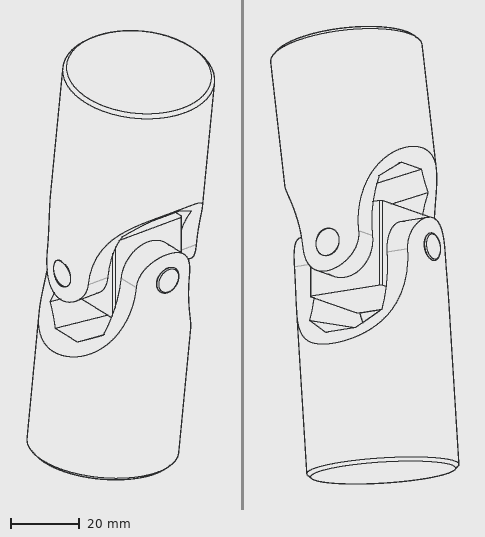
import cadquery as cq
import math

BODY_RADIUS = 22.2
PIN_TO_END = 63.5
END_CHAMFER = 1.0
ARM_RADIUS = 9.8
ARM_TIP = 8.7
FLARE_HEIGHT = 26.2
UPPER_TILT = 7.5
LOWER_TILT = 6.3

SLOT_WIDTH = 25.3
SLOT_DEPTH = 23.1
SLOT_WALL_DEPTH = 18.4
SLOT_FLOOR_WIDTH = 10.5

BLOCK_SIZE = SLOT_WIDTH
BLOCK_CHAMFER = 0.7
PIN_RADIUS = 4.0
PIN_END_CHAMFER = 0.4
LOWER_PIN_REACH = 22.4
UPPER_PIN_REACH = 21.8
PIN_INNER = BLOCK_SIZE / 4

ARM_CENTRE = ARM_TIP - ARM_RADIUS
FLARE_END = ARM_CENTRE - FLARE_HEIGHT
FLARE_WIDTH = BODY_RADIUS - ARM_RADIUS
FLARE_RADIUS = (FLARE_WIDTH**2 + FLARE_HEIGHT**2) / (2 * FLARE_WIDTH)


def plain_pin(reach):
    """Short pin along +X, from inside the block to the given reach."""
    return cq.Workplane("YZ", origin=(PIN_INNER, 0, 0)).circle(PIN_RADIUS).extrude(reach - PIN_INNER)


def lower_pin():
    """Pin along +X that stands proud of its arm and has a chamfered outer end."""
    return plain_pin(LOWER_PIN_REACH).faces(">X").chamfer(PIN_END_CHAMFER)


def upper_pin():
    """Pin along +Y that ends just inside the crown of its arm."""
    return plain_pin(UPPER_PIN_REACH).rotate((0, 0, 0), (0, 0, 1), 90)


def pin_bore():
    """Full-width bore along X for the two pins of one yoke."""
    return cq.Workplane("YZ").circle(PIN_RADIUS).extrude(BODY_RADIUS, both=True)


def arm_outline():
    """Side outline of a yoke in the YZ plane: rounded tip, concave flares, straight body."""
    half_flare = math.asin(FLARE_HEIGHT / FLARE_RADIUS) / 2
    flare_mid_y = ARM_RADIUS + FLARE_RADIUS * (1 - math.cos(half_flare))
    flare_mid_z = ARM_CENTRE - FLARE_RADIUS * math.sin(half_flare)
    return (
        cq.Workplane("YZ")
        .moveTo(-BODY_RADIUS, -PIN_TO_END)
        .lineTo(BODY_RADIUS, -PIN_TO_END)
        .lineTo(BODY_RADIUS, FLARE_END)
        .threePointArc((flare_mid_y, flare_mid_z), (ARM_RADIUS, ARM_CENTRE))
        .threePointArc((0, ARM_TIP), (-ARM_RADIUS, ARM_CENTRE))
        .threePointArc((-flare_mid_y, flare_mid_z), (-BODY_RADIUS, FLARE_END))
        .close()
        .extrude(BODY_RADIUS, both=True)
    )


def slot():
    """Slot running along Y between the arms."""
    wall = SLOT_WIDTH / 2
    floor = SLOT_FLOOR_WIDTH / 2
    return (
        cq.Workplane("XZ")
        .polyline([
            (-wall, ARM_TIP),
            (-wall, -SLOT_WALL_DEPTH),
            (-floor, -SLOT_DEPTH),
            (floor, -SLOT_DEPTH),
            (wall, -SLOT_WALL_DEPTH),
            (wall, ARM_TIP),
        ])
        .close()
        .extrude(BODY_RADIUS, both=True)
    )


def yoke():
    """Upright yoke: a round body shaped into two arms."""
    body = (
        cq.Workplane("XY", origin=(0, 0, -PIN_TO_END))
        .circle(BODY_RADIUS)
        .extrude(PIN_TO_END + ARM_TIP)
        .faces("<Z")
        .chamfer(END_CHAMFER)
    )
    return body.intersect(arm_outline()).cut(slot()).cut(pin_bore())


def centre_block(pins):
    """Cube with chamfered upright edges and a blind hole for each pin."""
    block = cq.Workplane("XY").box(BLOCK_SIZE, BLOCK_SIZE, BLOCK_SIZE).edges("|Z").chamfer(BLOCK_CHAMFER)
    for body in pins:
        block = block.cut(body)
    return block


pins = []
for side_angle in (0, 180):
    for arm_pin in (lower_pin(), upper_pin()):
        pins.append(arm_pin.rotate((0, 0, 0), (0, 0, 1), side_angle))

block = centre_block(pins)

lower_yoke = yoke().rotate((0, 0, 0), (1, 0, 0), -LOWER_TILT)

upper_yoke = (
    yoke()
    .rotate((0, 0, 0), (1, 0, 0), 180)
    .rotate((0, 0, 0), (0, 0, 1), 90)
    .rotate((0, 0, 0), (0, 1, 0), UPPER_TILT)
)

result = cq.Compound.makeCompound([
    lower_yoke.val(),
    upper_yoke.val(),
    block.val(),
    *[body.val() for body in pins],
])